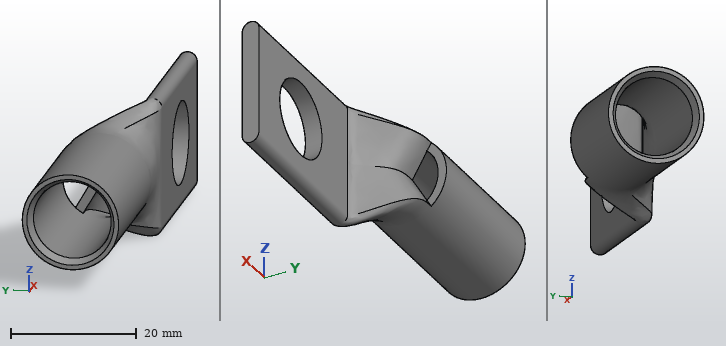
import cadquery as cq
import math

length = 63.5
tube_radius = 7.8
wall = 1.5
tube_length = 25.35
pad_start = 35.0
pad_width = 22.6
pad_thickness = 2 * wall
pad_middle_y = wall - tube_radius
hole_diameter = 13.5
hole_x = 50.0
mouth_chamfer_width = 0.75
mouth_chamfer_depth = 1.5

fold_y = 1.6
fold_half_angle = 60.0
front_edge_angle = -15.6
slit_half_thickness = 0.05
neck_steps = 8

spread_delay = 1.2
turn_delay = 1.4
collapse_delay = 1.8

bore_radius = tube_radius - wall


def polar(radius, degrees):
    """Point (y, z) on a circle about the tube axis, angle measured from +Z."""
    angle = math.radians(degrees)
    return radius * math.sin(angle), radius * math.cos(angle)


def folded_points(radius, vertex_y):
    """Half outline of the tube with a V fold: front, corner, side, tip, fold."""
    slope = math.radians(fold_half_angle)
    offset = vertex_y * math.cos(slope)
    arm = math.sqrt(radius**2 - (vertex_y * math.sin(slope)) ** 2) - offset
    tip = (vertex_y + arm * math.cos(slope), arm * math.sin(slope))
    tip_angle = math.degrees(math.atan2(tip[0], tip[1]))
    side = polar(radius, (front_edge_angle + tip_angle) / 2)
    return [(-radius, 0), polar(radius, front_edge_angle), side, tip, (vertex_y, 0)]


def flat_points(half_thickness):
    """Matching half outline of a flat bar with fully rounded edges."""
    edge_z = pad_width / 2 - wall
    front = pad_middle_y - half_thickness
    back = pad_middle_y + half_thickness
    side = (pad_middle_y, edge_z + half_thickness)
    return [(front, 0), (front, edge_z), side, (back, edge_z), (back, 0)]


def ease(position):
    """Blend from 0 to 1 that starts and ends level."""
    return position**2 * (3 - 2 * position)


def neck_outline(x, points, flat):
    """Closed outline at x, from half-outline points mirrored about Z = 0."""
    front, corner, side, tip, fold = [cq.Vector(x, y, z) for y, z in points]
    low_corner, low_side, low_tip = [cq.Vector(p.x, p.y, -p.z) for p in (corner, side, tip)]
    if flat:
        front_edge = cq.Edge.makeLine(low_corner, corner)
    else:
        front_edge = cq.Edge.makeThreePointArc(low_corner, front, corner)
    return cq.Wire.assembleEdges([
        front_edge,
        cq.Edge.makeThreePointArc(corner, side, tip),
        cq.Edge.makeLine(tip, fold),
        cq.Edge.makeLine(fold, low_tip),
        cq.Edge.makeThreePointArc(low_tip, low_side, low_corner),
    ])


def neck_loft(start_points, end_points):
    """Loft whose front spreads first, then its sides turn, then the fold collapses."""
    outlines = []
    for step in range(neck_steps + 1):
        position = step / neck_steps
        spread = ease(position**spread_delay)
        turn = ease(position**turn_delay)
        collapse = ease(position**collapse_delay)
        blends = [spread, spread, turn, collapse, collapse]
        points = [
            (a[0] + (b[0] - a[0]) * blend, a[1] + (b[1] - a[1]) * blend)
            for a, b, blend in zip(start_points, end_points, blends)
        ]
        x = tube_length + (pad_start - tube_length) * position
        outlines.append(neck_outline(x, points, step == neck_steps))
    return cq.Workplane(cq.Solid.makeLoft(outlines, False))


tube = (
    cq.Workplane("XY")
    .moveTo(0, bore_radius + mouth_chamfer_width)
    .lineTo(0, tube_radius)
    .lineTo(tube_length, tube_radius)
    .lineTo(tube_length, bore_radius)
    .lineTo(mouth_chamfer_depth, bore_radius)
    .close()
    .revolve(360, (0, 0, 0), (1, 0, 0))
)

inner_fold_y = fold_y - wall / math.sin(math.radians(fold_half_angle))
neck = neck_loft(folded_points(tube_radius, fold_y), flat_points(wall))
cavity = neck_loft(folded_points(bore_radius, inner_fold_y), flat_points(slit_half_thickness))
neck = neck.cut(cavity)

pad = (
    cq.Workplane("YZ", origin=(pad_start, 0, 0))
    .center(pad_middle_y, 0)
    .slot2D(pad_width, pad_thickness, 90)
    .extrude(length - pad_start)
)
bolt_hole = (
    cq.Workplane("XZ", origin=(hole_x, 0, 0))
    .circle(hole_diameter / 2)
    .extrude(2 * tube_radius, both=True)
)
pad = pad.cut(bolt_hole)

result = tube.union(neck).union(pad)